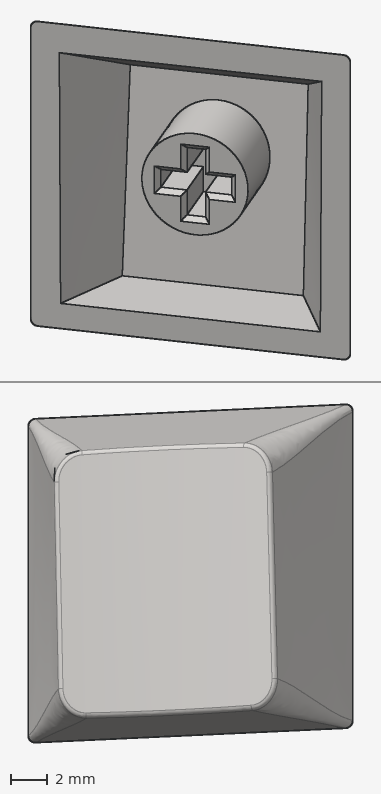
import cadquery as cq
import math

rim_side = 18.1
rim_corner_radius = 0.42
crown_half_width = 5.94
crown_top_z = 5.29
crown_height = 7.65
crown_tilt = 6.2
crown_corner_radius = 1.63
dish_depth = 0.62
dish_edge_depth = 0.18
crown_edge_radius = 0.27
body_sections = 5

opening_half_width_top = 7.42
opening_half_width_bottom = 7.35
opening_top_z = 7.33
cavity_bottom_z = -7.55
floor_half_width_top = 5.03
floor_half_width_bottom = 5.12
floor_top_z = 4.45
floor_top_depth = 5.86

stem_diameter = 6.01
stem_recess = 0.9
socket_bevel = 0.29
socket_depth = 3.62
socket_mouth_length = 4.58
socket_mouth_width = 1.63

half_side = rim_side / 2
tilt_slope = math.tan(math.radians(crown_tilt))


def rounded_outline(half_width, bottom, top, radius, depth_at):
    """Closed rounded rectangle over X and Z, lifted to Y = depth_at(z)."""
    diagonal = radius * (1 - math.sqrt(0.5))

    def point(x, z):
        return cq.Vector(x, depth_at(z), z)

    corners = [(1, bottom, 1), (1, top, -1), (-1, top, -1), (-1, bottom, 1)]
    runs = []
    for index, (side, z, inward) in enumerate(corners):
        beside = point(side * (half_width - radius), z)
        middle = point(side * (half_width - diagonal), z + inward * diagonal)
        along = point(side * half_width, z + inward * radius)
        runs.append((beside, middle, along) if index % 2 == 0 else (along, middle, beside))
    edges = []
    for index, (start, middle, end) in enumerate(runs):
        following_start = runs[(index + 1) % len(runs)][0]
        edges.append(cq.Edge.makeThreePointArc(start, middle, end))
        edges.append(cq.Edge.makeLine(end, following_start))
    return cq.Wire.assembleEdges(edges)


def polygon(points):
    return cq.Wire.makePolygon([cq.Vector(*p) for p in points], close=True)


def ruled_solid(first, last):
    return cq.Workplane(cq.Solid.makeLoft([first, last], True))


def crown_depth(z):
    return crown_height - (crown_top_z - z) * tilt_slope


def section_depth(z, part_way, top):
    """Y of a body section, tilting steadily from the flat rim to the inclined crown."""
    lower_edge_depth = crown_depth(-half_side)
    along = (z + half_side) / (top + half_side)
    return part_way * (lower_edge_depth + (crown_height - lower_edge_depth) * along)


def make_body():
    """Straight tapering walls whose corner radius eases in and out along an S-curve."""
    sections = []
    for index in range(body_sections):
        part_way = index / (body_sections - 1)
        eased = part_way**2 * (3 - 2 * part_way)
        half_width = half_side + (crown_half_width - half_side) * part_way
        top = half_side + (crown_top_z - half_side) * part_way
        radius = rim_corner_radius + (crown_corner_radius - rim_corner_radius) * eased
        sections.append(
            rounded_outline(half_width, -half_side, top, radius, lambda z: section_depth(z, part_way, top))
        )
    return cq.Workplane(cq.Solid.makeLoft(sections))


def make_dish():
    """Cylinder running down the crown, cutting dish_depth deep at mid width."""
    sag = dish_depth - dish_edge_depth
    radius = (crown_half_width**2 + sag**2) / (2 * sag)
    axis = cq.Vector(0, tilt_slope, 1).normalized()
    outward = cq.Vector(0, 1, -tilt_slope).normalized()
    crown_origin = cq.Vector(0, crown_depth(0), 0)
    start = crown_origin + outward * (radius - dish_depth) - axis * rim_side
    return cq.Workplane(cq.Solid.makeCylinder(radius, 2 * rim_side, start, axis))


def make_cavity():
    floor_bottom_depth = floor_top_depth - (floor_top_z - cavity_bottom_z) * tilt_slope
    opening = polygon([
        (-opening_half_width_bottom, 0, cavity_bottom_z),
        (opening_half_width_bottom, 0, cavity_bottom_z),
        (opening_half_width_top, 0, opening_top_z),
        (-opening_half_width_top, 0, opening_top_z),
    ])
    floor = polygon([
        (-floor_half_width_bottom, floor_bottom_depth, cavity_bottom_z),
        (floor_half_width_bottom, floor_bottom_depth, cavity_bottom_z),
        (floor_half_width_top, floor_top_depth, floor_top_z),
        (-floor_half_width_top, floor_top_depth, floor_top_z),
    ])
    return ruled_solid(opening, floor)


def cross_outline(length, width, depth):
    a = length / 2
    b = width / 2
    quarter = [(a, b), (b, b), (b, a)]
    points = []
    for _ in range(4):
        points += [(x, depth, z) for x, z in quarter]
        quarter = [(-z, x) for x, z in quarter]
    return polygon(points)


def make_stem():
    end = cq.Vector(0, stem_recess, 0)
    length = floor_top_depth - stem_recess
    return cq.Workplane(cq.Solid.makeCylinder(stem_diameter / 2, length, end, cq.Vector(0, 1, 0)))


def make_socket():
    narrow_length = socket_mouth_length - 2 * socket_bevel
    narrow_width = socket_mouth_width - 2 * socket_bevel
    mouth = cross_outline(socket_mouth_length, socket_mouth_width, stem_recess)
    throat = cross_outline(narrow_length, narrow_width, stem_recess + socket_bevel)
    end = cross_outline(narrow_length, narrow_width, stem_recess + socket_depth)
    return ruled_solid(mouth, throat).union(ruled_solid(throat, end))


dished_body = make_body().cut(make_dish())
crown_face = dished_body.faces(cq.selectors.DirectionMinMaxSelector(cq.Vector(0, 1, 0), True))
rounded_body = crown_face.edges().fillet(crown_edge_radius)
result = rounded_body.cut(make_cavity()).union(make_stem()).cut(make_socket())